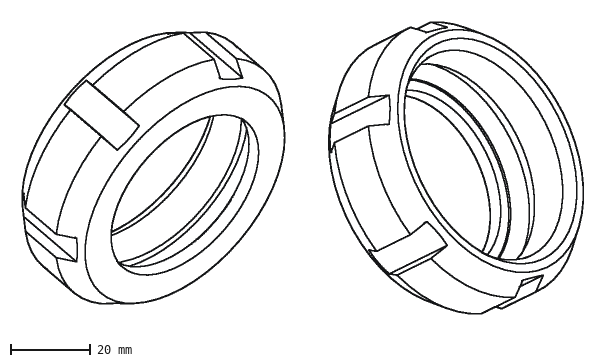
import cadquery as cq

outer_diameter = 73.75
face_diameter = 65.05
width = 25.0
rim_width = 12.25
bevel_length = (width - rim_width) / 2

mouth_diameter = 60.4
seat_diameter = 56.2
groove_diameter = mouth_diameter
step_diameter = 53.7
through_diameter = 48.0
mouth_depth = 2.95
seat_depth = 13.1
taper_depth = 20.5
groove_depth = taper_depth - (groove_diameter - step_diameter) / 2
step_depth = 21.2

slot_count = 6
slot_width = 8.25
slot_floor_radius = 33.6


def make_ring():
    """Revolve the bevelled rim and its stepped bore about the X axis."""
    left = -width / 2
    right = width / 2
    profile = [
        (left, face_diameter / 2),
        (left + bevel_length, outer_diameter / 2),
        (right - bevel_length, outer_diameter / 2),
        (right, face_diameter / 2),
        (right, through_diameter / 2),
        (left + step_depth, through_diameter / 2),
        (left + step_depth, step_diameter / 2),
        (left + taper_depth, step_diameter / 2),
        (left + groove_depth, groove_diameter / 2),
        (left + seat_depth, groove_diameter / 2),
        (left + seat_depth, seat_diameter / 2),
        (left + mouth_depth, seat_diameter / 2),
        (left, mouth_diameter / 2),
    ]
    return cq.Workplane("XY").polyline(profile).close().revolve(360, (0, 0, 0), (1, 0, 0))


def make_slot(angle):
    """Flat-floored cutter running along the ring, turned about X from the +Y side."""
    cutter_height = outer_diameter / 2
    cutter = cq.Workplane("XY").box(width, cutter_height, slot_width)
    cutter = cutter.translate((0, slot_floor_radius + cutter_height / 2, 0))
    return cutter.rotate((0, 0, 0), (1, 0, 0), angle)


result = make_ring()
for index in range(slot_count):
    result = result.cut(make_slot(index * 360 / slot_count))